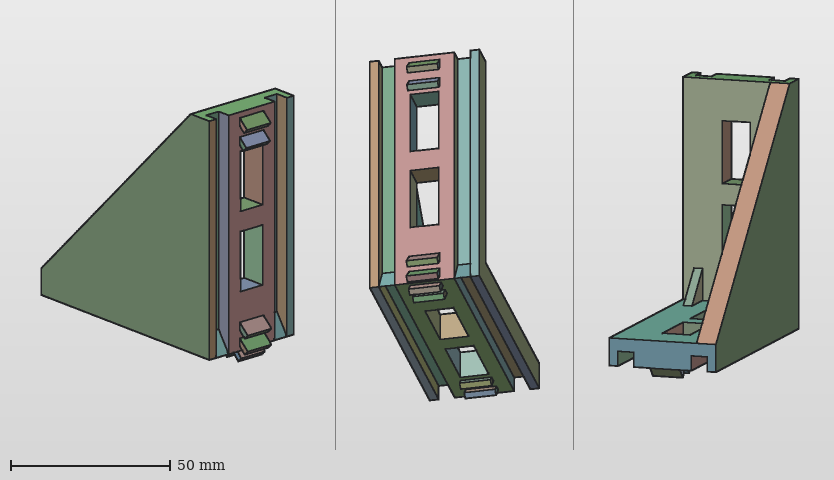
import cadquery as cq
import math

overall = 83.5
tab_drop = 3.8
leg_length = overall - tab_drop
depth = 35.4
leg_thickness = 8.85
web_thickness = 6.4

window_count = 2
window_length = 20.05
window_width = 9.2
window_margin = 13.2
window_pitch = 26.8

groove_width = 5.2
groove_depth = 4.8
groove_margin = 2.9
groove_ramp = 7.1

gusset_leg = 10.2
gusset_width = 2.8
gusset_margin = 3.7

tab_width = 9.9
tab_thickness = 2.0
tab_root = 1.7
tab_slope = 47.5
tab_tips = [(74.7, 3.4), (68.6, 3.1), (6.1, tab_drop), (0.75, tab_drop)]


def prism(points, y_start, width):
    """Extrude an XZ outline by width towards +Y, starting at y_start."""
    outline = cq.Workplane("XZ", origin=(0, y_start, 0)).polyline(points).close()
    return outline.extrude(-width)


def leg_block():
    """The leg along -X, its outer face at Z = 0."""
    block = cq.Workplane("XY").box(leg_length, depth, leg_thickness, centered=False)
    return block.translate((-leg_length, 0, 0))


def side_web():
    outline = [
        (0, 0),
        (-leg_length, 0),
        (-leg_length, leg_thickness),
        (-leg_thickness, leg_length),
        (0, leg_length),
    ]
    return prism(outline, 0, web_thickness)


def gusset():
    outline = [
        (-leg_thickness, leg_thickness),
        (-leg_thickness - gusset_leg, leg_thickness),
        (-leg_thickness, leg_thickness + gusset_leg),
    ]
    return prism(outline, depth - gusset_margin - gusset_width, gusset_width)


def windows():
    """Cutters for the windows of the leg along -X."""
    first_centre = -leg_length + window_margin + window_length / 2
    centres = [(first_centre + i * window_pitch, depth / 2) for i in range(window_count)]
    return cq.Workplane("XY").pushPoints(centres).rect(window_length, window_width).extrude(leg_thickness)


def groove(y_start):
    """Cutter for one groove of the leg along -X; its end ramps out at the outer corner."""
    outline = [
        (-leg_length, 0),
        (-leg_length, groove_depth),
        (-groove_ramp, groove_depth),
        (0, 0),
    ]
    return prism(outline, y_start, groove_width)


def tab(corner_distance, drop):
    """Tab leaning towards the corner, with its end cut at 45 degrees and its root buried in the leg."""
    rise = drop + tab_root
    run = rise / math.tan(math.radians(tab_slope))
    side = tab_thickness / math.sqrt(2)
    tip_x = -corner_distance
    outline = [
        (tip_x, -drop),
        (tip_x + side, side - drop),
        (tip_x + side - run, side - drop + rise),
        (tip_x - run, rise - drop),
    ]
    return prism(outline, (depth - tab_width) / 2, tab_width)


def with_other_leg(shape):
    """Add the mirror copy that belongs to the leg along +Z."""
    return shape.union(shape.mirror(cq.Vector(1, 0, 1)))


cutters = windows()
for groove_start in (groove_margin, depth - groove_margin - groove_width):
    cutters = cutters.union(groove(groove_start))

tabs = cq.Workplane("XY")
for corner_distance, drop in tab_tips:
    tabs = tabs.add(tab(corner_distance, drop))
tabs = tabs.combine()

body = with_other_leg(leg_block()).union(side_web()).union(gusset())
result = body.cut(with_other_leg(cutters)).union(with_other_leg(tabs))